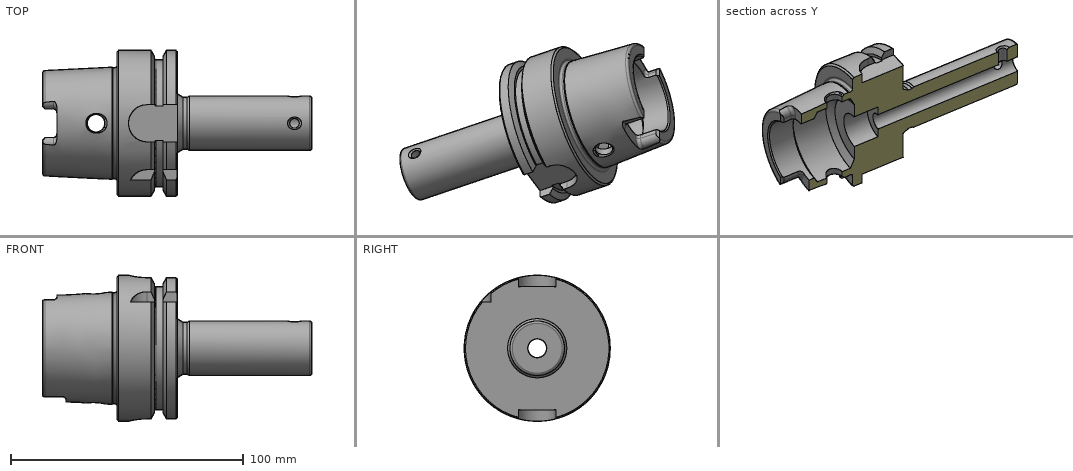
import cadquery as cq
import math

TAPER_LENGTH = 32.0
FLANGE_WIDTH = 26.0
SHANK_END = 84.0

GAUGE_RADIUS = 24.0
GAUGE_X = -6.3
TAPER_RATIO = 1 / 9.98
TAPER_END_ROUND = 1.1
TAPER_BACK_X = -2.2
RELIEF_RADIUS = 48.04 / 2
RELIEF_START_X = -1.66
SHOULDER_FILLET = 1.0
FACE_RELIEF_DEPTH = 0.1
FACE_RELIEF_RADIUS = 25.6

FLANGE_RADIUS = 63.0 / 2
FLANGE_CHAMFER = 0.8
REAR_FLANGE_CHAMFER = 0.6
GROOVE_ROOT_RADIUS = 55.0 / 2
GROOVE_LIP_RADIUS = 28.8
GROOVE_LEFT_X = 16.25
GROOVE_RIGHT_X = 19.8
GROOVE_CONE_ANGLE = 30.0
GROOVE_FILLET = 0.6

NECK_RADIUS = 22.5 / 2
NECK_CONE_RADIUS = 12.75
NECK_START_X = 28.5
NECK_END_X = 30.3
SHANK_RADIUS = 23.5 / 2
SHANK_START_X = 31.2
SHANK_END_ROUND = 1.0

MOUTH_RADIUS = 34.0 / 2
MOUTH_CHAMFER = 0.6
CLAMP_EDGE_DEPTH = 12.6
CAVITY_RADIUS = 40.0 / 2
CLAMP_CONE_ANGLE = 60.0
CAVITY_FLOOR_X = 1.0
CAVITY_FLOOR_RADIUS = 15.65
FLOOR_CONE_ANGLE = 65.0
TUBE_SEAT_RADIUS = 16.92 / 2
TUBE_SEAT_DEPTH = 12.0
COOLANT_RADIUS = 8.0 / 2

CROSS_HOLE_X = -9.0
CROSS_HOLE_RADIUS = 7.5 / 2
CROSS_HOLE_CHAMFER = 0.5

KEY_HALF_WIDTH = 6.1
KEY_SHOULDER_Z = 20.9
KEY_CORNER_ROUND = 3.0
KEY_FLOOR_FILLET = 1.5
KEY_CHAMFER = 1.1
KEY_DEPTH_TOP = 6.1
KEY_DEPTH_BOTTOM = 10.0
KEY_INNER_Z = 8.0

CUTTER_RADIUS = 8.0
CUTTER_CENTRE_X = 13.0
GRIP_FLOOR_Z = 26.5
NOTCH_OFFSET = 20.0

SCREW_FROM_END = 7.5
SCREW_RADIUS = 4.13 / 2
SCREW_SINK_RADIUS = 3.0

CLEARANCE = 40.0


def taper_radius(x):
    return GAUGE_RADIUS + (x - GAUGE_X) * TAPER_RATIO / 2


def revolve_about_x(profile):
    return profile.close().revolve(360, (0, 0, 0), (1, 0, 0))


def turned_body():
    end_radius = taper_radius(-TAPER_LENGTH)
    cone_run = (FLANGE_RADIUS - GROOVE_LIP_RADIUS) * math.tan(math.radians(GROOVE_CONE_ANGLE))
    fillet_start_x = FACE_RELIEF_DEPTH - SHOULDER_FILLET
    fillet_centre_radius = RELIEF_RADIUS + SHOULDER_FILLET
    arc_offset = SHOULDER_FILLET * math.sqrt(0.5)
    groove_root = GROOVE_ROOT_RADIUS + GROOVE_FILLET
    profile = (
        cq.Workplane("XY")
        .moveTo(-TAPER_LENGTH, 0)
        .lineTo(-TAPER_LENGTH, end_radius - TAPER_END_ROUND)
        .tangentArcPoint(
            (-TAPER_LENGTH + TAPER_END_ROUND, taper_radius(-TAPER_LENGTH + TAPER_END_ROUND)),
            relative=False,
        )
        .lineTo(TAPER_BACK_X, taper_radius(TAPER_BACK_X))
        .lineTo(RELIEF_START_X, RELIEF_RADIUS)
        .lineTo(fillet_start_x, RELIEF_RADIUS)
        .threePointArc(
            (fillet_start_x + arc_offset, fillet_centre_radius - arc_offset),
            (FACE_RELIEF_DEPTH, fillet_centre_radius),
        )
        .lineTo(0, FACE_RELIEF_RADIUS)
        .lineTo(0, FLANGE_RADIUS - FLANGE_CHAMFER)
        .lineTo(FLANGE_CHAMFER, FLANGE_RADIUS)
        .lineTo(GROOVE_LEFT_X - cone_run, FLANGE_RADIUS)
        .lineTo(GROOVE_LEFT_X, GROOVE_LIP_RADIUS)
        .lineTo(GROOVE_LEFT_X, groove_root)
        .tangentArcPoint((GROOVE_LEFT_X + GROOVE_FILLET, GROOVE_ROOT_RADIUS), relative=False)
        .lineTo(GROOVE_RIGHT_X, GROOVE_ROOT_RADIUS)
        .lineTo(GROOVE_RIGHT_X, GROOVE_LIP_RADIUS)
        .lineTo(GROOVE_RIGHT_X + cone_run, FLANGE_RADIUS)
        .lineTo(FLANGE_WIDTH - REAR_FLANGE_CHAMFER, FLANGE_RADIUS)
        .lineTo(FLANGE_WIDTH, FLANGE_RADIUS - REAR_FLANGE_CHAMFER)
        .lineTo(FLANGE_WIDTH, NECK_CONE_RADIUS)
        .lineTo(NECK_START_X, NECK_RADIUS)
        .lineTo(NECK_END_X, NECK_RADIUS)
        .lineTo(SHANK_START_X, SHANK_RADIUS)
        .lineTo(SHANK_END - SHANK_END_ROUND, SHANK_RADIUS)
        .tangentArcPoint((SHANK_END, SHANK_RADIUS - SHANK_END_ROUND), relative=False)
        .lineTo(SHANK_END, 0)
    )
    return revolve_about_x(profile)


def cavity():
    edge_x = -TAPER_LENGTH + CLAMP_EDGE_DEPTH
    cone_run = (CAVITY_RADIUS - MOUTH_RADIUS) / math.tan(math.radians(CLAMP_CONE_ANGLE))
    floor_cone_run = (CAVITY_RADIUS - CAVITY_FLOOR_RADIUS) / math.tan(math.radians(FLOOR_CONE_ANGLE))
    seat_floor_x = CAVITY_FLOOR_X + TUBE_SEAT_DEPTH
    profile = (
        cq.Workplane("XY")
        .moveTo(-TAPER_LENGTH, 0)
        .lineTo(-TAPER_LENGTH, MOUTH_RADIUS + MOUTH_CHAMFER)
        .lineTo(-TAPER_LENGTH + MOUTH_CHAMFER, MOUTH_RADIUS)
        .lineTo(edge_x, MOUTH_RADIUS)
        .lineTo(edge_x + cone_run, CAVITY_RADIUS)
        .lineTo(CAVITY_FLOOR_X - floor_cone_run, CAVITY_RADIUS)
        .lineTo(CAVITY_FLOOR_X, CAVITY_FLOOR_RADIUS)
        .lineTo(CAVITY_FLOOR_X, TUBE_SEAT_RADIUS)
        .lineTo(seat_floor_x, TUBE_SEAT_RADIUS)
        .lineTo(seat_floor_x, COOLANT_RADIUS)
        .lineTo(SHANK_END, COOLANT_RADIUS)
        .lineTo(SHANK_END, 0)
    )
    return revolve_about_x(profile)


def cross_hole():
    """Radial hole through both walls of the taper, with a chamfer at each outer rim."""
    outer = taper_radius(CROSS_HOLE_X)
    rim_radius = CROSS_HOLE_RADIUS + CROSS_HOLE_CHAMFER
    rim_z = math.sqrt(outer**2 - rim_radius**2)
    hole = cq.Workplane("XY").center(CROSS_HOLE_X, 0).circle(CROSS_HOLE_RADIUS).extrude(CLEARANCE, both=True)
    for side in (1, -1):
        cone = cq.Solid.makeCone(
            CROSS_HOLE_RADIUS,
            rim_radius + CROSS_HOLE_CHAMFER,
            2 * CROSS_HOLE_CHAMFER,
            pnt=cq.Vector(CROSS_HOLE_X, 0, side * (rim_z - CROSS_HOLE_CHAMFER)),
            dir=cq.Vector(0, 0, side),
        )
        hole = hole.union(cq.Workplane(cone))
    return hole


def key_slot(depth):
    """Drive slot on the +Z side: rounded shoulders, filleted floor and chamfered entry."""
    arc_centre_y = KEY_HALF_WIDTH + KEY_CORNER_ROUND
    arc_centre_z = KEY_SHOULDER_Z - KEY_CORNER_ROUND
    arc_offset = KEY_CORNER_ROUND * math.sqrt(0.5)
    slot = (
        cq.Workplane("YZ", origin=(-TAPER_LENGTH, 0, 0))
        .moveTo(-KEY_HALF_WIDTH, KEY_INNER_Z)
        .lineTo(KEY_HALF_WIDTH, KEY_INNER_Z)
        .lineTo(KEY_HALF_WIDTH, arc_centre_z)
        .threePointArc(
            (arc_centre_y - arc_offset, arc_centre_z + arc_offset), (arc_centre_y, KEY_SHOULDER_Z)
        )
        .lineTo(CLEARANCE, KEY_SHOULDER_Z)
        .lineTo(CLEARANCE, CLEARANCE)
        .lineTo(-CLEARANCE, CLEARANCE)
        .lineTo(-CLEARANCE, KEY_SHOULDER_Z)
        .lineTo(-arc_centre_y, KEY_SHOULDER_Z)
        .threePointArc(
            (-arc_centre_y + arc_offset, arc_centre_z + arc_offset), (-KEY_HALF_WIDTH, arc_centre_z)
        )
        .close()
        .extrude(depth)
        .faces(">X")
        .edges()
        .fillet(KEY_FLOOR_FILLET)
    )
    entry_half_width = KEY_HALF_WIDTH + KEY_CHAMFER
    entry = (
        cq.Workplane("XY", origin=(0, 0, KEY_INNER_Z))
        .moveTo(-TAPER_LENGTH, -entry_half_width)
        .lineTo(-TAPER_LENGTH, entry_half_width)
        .lineTo(-TAPER_LENGTH + KEY_CHAMFER, KEY_HALF_WIDTH)
        .lineTo(-TAPER_LENGTH + KEY_CHAMFER, -KEY_HALF_WIDTH)
        .close()
        .extrude(CLEARANCE)
    )
    return slot.union(entry)


def grip_slot():
    """Round-ended flat slot on the +Z side of the flange, open toward the shank."""
    length = FLANGE_WIDTH - CUTTER_CENTRE_X
    plane = cq.Workplane("XY", origin=(CUTTER_CENTRE_X, 0, GRIP_FLOOR_Z))
    run = plane.rect(length, 2 * CUTTER_RADIUS, centered=(False, True)).extrude(CLEARANCE)
    return run.union(plane.circle(CUTTER_RADIUS).extrude(CLEARANCE))


def corner_notch():
    """Square-cornered notch on the -Y, +Z side of the flange with a round milled end."""
    plane = cq.Workplane("XY", origin=(CUTTER_CENTRE_X, -NOTCH_OFFSET, NOTCH_OFFSET))
    length = FLANGE_WIDTH - CUTTER_CENTRE_X
    run = plane.rect(length, -2 * CUTTER_RADIUS, centered=False).extrude(CLEARANCE)
    return run.union(plane.center(0, -CUTTER_RADIUS).circle(CUTTER_RADIUS).extrude(CLEARANCE))


def screw_hole():
    """Countersunk radial hole on the +Z side of the shank, down to the coolant bore."""
    sink_depth = SCREW_SINK_RADIUS - SCREW_RADIUS
    profile = (
        cq.Workplane("XZ", origin=(SHANK_END - SCREW_FROM_END, 0, 0))
        .lineTo(SCREW_RADIUS, 0)
        .lineTo(SCREW_RADIUS, SHANK_RADIUS - sink_depth)
        .lineTo(SCREW_SINK_RADIUS, SHANK_RADIUS)
        .lineTo(0, SHANK_RADIUS)
        .close()
    )
    return profile.revolve(360, (0, 0, 0), (0, 1, 0))


def turned_about_x(body, angle):
    return body.rotate((0, 0, 0), (1, 0, 0), angle)


result = turned_body().cut(cavity()).cut(cross_hole())
for slot_depth, slot_angle in ((KEY_DEPTH_TOP, 0), (KEY_DEPTH_BOTTOM, 180)):
    result = result.cut(turned_about_x(key_slot(slot_depth), slot_angle))
for grip_angle in (0, 180):
    result = result.cut(turned_about_x(grip_slot(), grip_angle))
result = result.cut(corner_notch())
for screw_angle in (0, -90):
    result = result.cut(turned_about_x(screw_hole(), screw_angle))